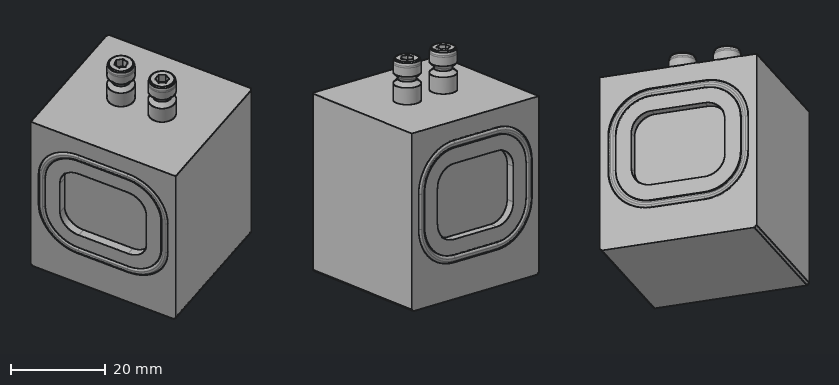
import cadquery as cq
import math

BLOCK_WIDTH = 35.25
BLOCK_DEPTH = 32.5
BLOCK_HEIGHT = 40.0
BLOCK_CHAMFER = 0.5
TOTAL_HEIGHT = 49.5

WINDOW_CENTER_Z = 22.0
RECESS_WIDTH = 21.0
RECESS_HEIGHT = 17.05
RECESS_RADIUS = 4.5
RECESS_DEPTH = 2.0
RING_WIDTH = 31.45
RING_HEIGHT = 27.4
RING_RADIUS = 9.75
RING_BAND = 1.7
RING_ROUNDING = 0.6
RING_PROTRUSION = 0.25

PIN_OFFSET = 5.0
PIN_RADIUS = 2.95
PIN_NECK_RADIUS = 2.0
NECK_FILLET = 0.5
CONE_ANGLE = 45.0
COLLAR_BOTTOM_RADIUS = 2.9
COLLAR_TOP_RADIUS = 2.75
PIN_TIP_RADIUS = 2.5
SHANK_TOP = 3.75
NECK_TOP = 5.05
HEAD_TOP = 8.3
COLLAR_BOTTOM = 8.65
COLLAR_TOP = 9.2
PIN_HEIGHT = TOTAL_HEIGHT - BLOCK_HEIGHT
SOCKET_FLATS = 2.5
SOCKET_DEPTH = 2.0
HEXAGON_HALF_ANGLE = 30.0
LEFT_SOCKET_ANGLE = 44.0
RIGHT_SOCKET_ANGLE = 30.0

FRONT_Y = -BLOCK_DEPTH / 2


def rounded_prism(width, height, radius, y_outer, y_inner):
    """Rounded rectangle around the window centre, running from y_outer back to y_inner."""
    return (
        cq.Workplane("XZ", origin=(0, y_inner, WINDOW_CENTER_Z))
        .rect(width, height)
        .extrude(y_inner - y_outer)
        .edges("|Y")
        .fillet(radius)
    )


def ring_band(y_outer, y_inner):
    """Closed band with the footprint of the sealing ring."""
    outer = rounded_prism(RING_WIDTH, RING_HEIGHT, RING_RADIUS, y_outer, y_inner)
    inner = rounded_prism(
        RING_WIDTH - 2 * RING_BAND,
        RING_HEIGHT - 2 * RING_BAND,
        RING_RADIUS - RING_BAND,
        y_outer,
        y_inner,
    )
    return outer.cut(inner)


def block():
    """Block chamfered along the upright rear edges and all bottom edges but the front one."""
    body = cq.Workplane("XY").box(BLOCK_WIDTH, BLOCK_DEPTH, BLOCK_HEIGHT, centered=(True, True, False))
    rear_uprights = body.edges("|Z and >Y")
    bottom_edges = body.faces("<Z").edges("|Y or >Y")
    return body.newObject(rear_uprights.vals() + bottom_edges.vals()).chamfer(BLOCK_CHAMFER)


def neck_fillet_point(degrees):
    """Radius and height on the fillet that turns from the straight neck into the upper cone."""
    angle = math.radians(degrees)
    return (
        PIN_NECK_RADIUS + NECK_FILLET * (1 - math.cos(angle)),
        NECK_TOP + NECK_FILLET * math.sin(angle),
    )


def pin(x, socket_angle):
    """Turned pin with a neck between two 45 degree cones, a tapered tip and a hexagon socket."""
    fillet_mid = neck_fillet_point(CONE_ANGLE / 2)
    fillet_end = neck_fillet_point(CONE_ANGLE)
    neck_bottom = SHANK_TOP + PIN_RADIUS - PIN_NECK_RADIUS
    head_bottom = fillet_end[1] + PIN_RADIUS - fillet_end[0]
    turned = (
        cq.Workplane("XZ")
        .lineTo(PIN_RADIUS, 0)
        .lineTo(PIN_RADIUS, SHANK_TOP)
        .lineTo(PIN_NECK_RADIUS, neck_bottom)
        .lineTo(PIN_NECK_RADIUS, NECK_TOP)
        .threePointArc(fillet_mid, fillet_end)
        .lineTo(PIN_RADIUS, head_bottom)
        .lineTo(PIN_RADIUS, HEAD_TOP)
        .lineTo(COLLAR_BOTTOM_RADIUS, COLLAR_BOTTOM)
        .lineTo(COLLAR_TOP_RADIUS, COLLAR_TOP)
        .lineTo(PIN_TIP_RADIUS, PIN_HEIGHT)
        .lineTo(0, PIN_HEIGHT)
        .close()
        .revolve(360, (0, 0), (0, 1))
    )
    across_corners = SOCKET_FLATS / math.cos(math.radians(HEXAGON_HALF_ANGLE))
    socket = (
        cq.Workplane("XY", origin=(0, 0, PIN_HEIGHT - SOCKET_DEPTH))
        .polygon(6, across_corners)
        .extrude(SOCKET_DEPTH)
        .rotate((0, 0, 0), (0, 0, 1), socket_angle)
    )
    return turned.cut(socket).translate((x, 0, BLOCK_HEIGHT))


groove_floor_y = FRONT_Y - RING_PROTRUSION + RING_ROUNDING
ring_top_y = FRONT_Y - RING_PROTRUSION
ring_base_y = groove_floor_y + RING_ROUNDING
groove = ring_band(FRONT_Y, groove_floor_y)
ring = ring_band(ring_top_y, ring_base_y).faces("<Y").edges().fillet(RING_ROUNDING)
recess = rounded_prism(RECESS_WIDTH, RECESS_HEIGHT, RECESS_RADIUS, FRONT_Y, FRONT_Y + RECESS_DEPTH)

result = block().cut(recess).cut(groove).union(ring)
for pin_x, angle in ((-PIN_OFFSET, LEFT_SOCKET_ANGLE), (PIN_OFFSET, RIGHT_SOCKET_ANGLE)):
    result = result.union(pin(pin_x, angle))